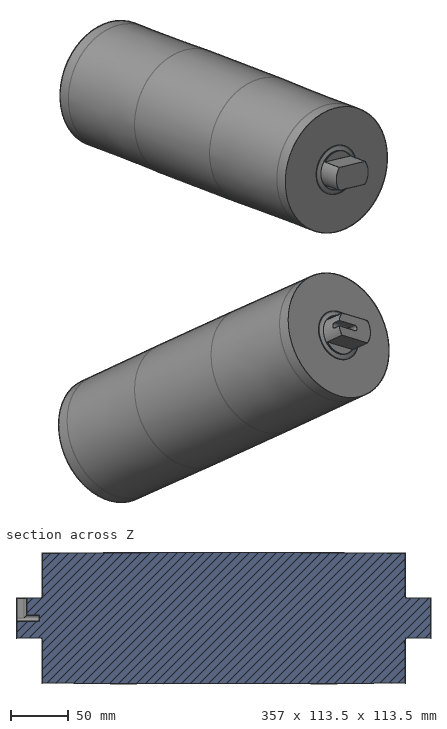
import cadquery as cq

overall_length = 357.0
overall_half = overall_length / 2

crown_diameter = 113.5
end_diameter = 112.5
crown_length = 104.2
drum_length = 313.0
cap_width = 11.8

recess_diameter = 44.0
recess_depth = 0.55
seal_diameter = 42.0
seal_protrusion = 0.55

shaft_diameter = 35.0
flats_thickness = 20.7
flats_length = 20.0

cable_diameter = 5.0
groove_depth = 8.5
cable_hole_depth = 19.3

crown_radius = crown_diameter / 2
end_radius = end_diameter / 2
recess_radius = recess_diameter / 2
seal_radius = seal_diameter / 2
shaft_radius = shaft_diameter / 2
cable_radius = cable_diameter / 2

crown_half = crown_length / 2
drum_half = drum_length / 2
cap_start = drum_half - cap_width
recess_floor = drum_half - recess_depth
seal_tip = drum_half + seal_protrusion


def roller():
    """Revolve the whole roller, shaft included, about the X axis."""
    right_outline = [
        (crown_half, crown_radius),
        (cap_start, end_radius),
        (drum_half, end_radius),
        (drum_half, recess_radius),
        (recess_floor, recess_radius),
        (recess_floor, seal_radius),
        (seal_tip, shaft_radius),
        (overall_half, shaft_radius),
        (overall_half, 0),
    ]
    left_outline = [(-x, radius) for x, radius in reversed(right_outline)]
    profile = cq.Workplane("XY").polyline(left_outline + right_outline).close()
    return profile.revolve(360, (0, 0, 0), (1, 0, 0))


def flat_cutter(x_side, z_side):
    """Block that removes the shaft material beyond one flat at one end."""
    return cq.Workplane("XY").box(flats_length, shaft_diameter, shaft_radius).translate((
        x_side * (overall_half - flats_length / 2),
        0,
        z_side * (flats_thickness + shaft_radius) / 2,
    ))


def cable_passage():
    """Axial hole joined to a groove that runs out through the +Y side of the shaft."""
    hole = (
        cq.Workplane("YZ", origin=(-overall_half, 0, 0))
        .circle(cable_radius)
        .extrude(cable_hole_depth)
    )
    groove_axis_x = -overall_half + groove_depth - cable_radius
    groove_bottom = (
        cq.Workplane("XZ", origin=(groove_axis_x, 0, 0))
        .circle(cable_radius)
        .extrude(-shaft_diameter)
    )
    groove_mouth = cq.Workplane("XY").box(
        groove_depth - cable_radius, shaft_diameter, cable_diameter, centered=(False, False, True)
    ).translate((-overall_half, 0, 0))
    return hole.union(groove_bottom).union(groove_mouth)


result = roller()
for x_side in (-1, 1):
    for z_side in (-1, 1):
        result = result.cut(flat_cutter(x_side, z_side))
result = result.cut(cable_passage())